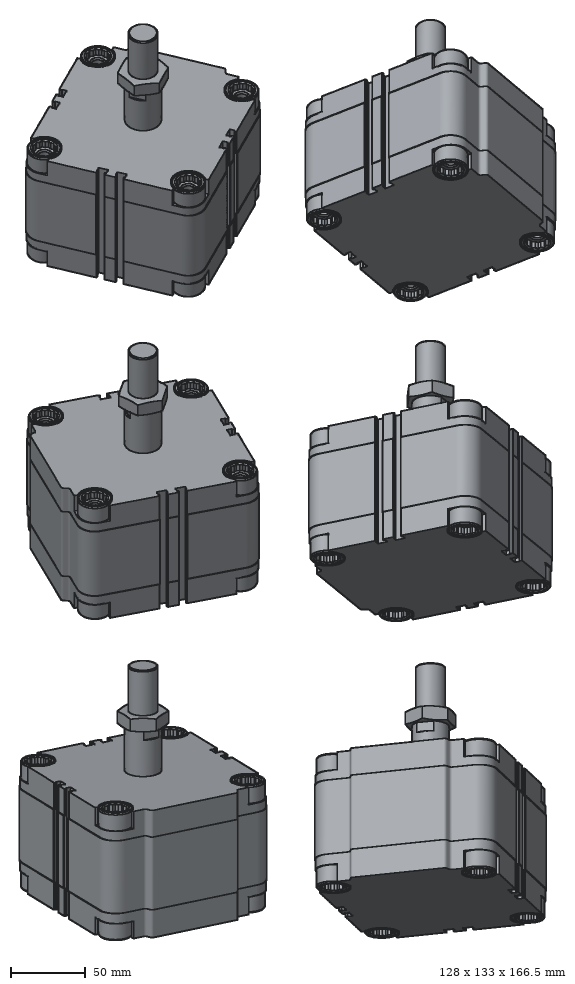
import cadquery as cq
import math

TOTAL_HEIGHT = 166.5
HOUSING_HEIGHT = 91.4
BARREL_BOTTOM = 20.0
BARREL_TOP = 72.3
NUT_BOTTOM = 124.5
NUT_THICKNESS = 9.7

BARREL_HALF_WIDTH = 64.02
CAP_SIDE_STEP = 0.5
CAP_FRONT_STEP = 0.08
CORNER_RADIUS = 12.3
TAB_FOOT_HALF_WIDTH = 35.5
TAB_TIP_HALF_WIDTH = 33.5
TAB_HEIGHT = 5.0
TAB_RADIUS = 2.0

SLOT_FLOOR = BARREL_HALF_WIDTH - 5.7
SLOT_LIP_BOTTOM = BARREL_HALF_WIDTH - 2.3
SLOT_OFFSET = 6.7
SLOT_WIDTH = 6.8
MOUTH_OFFSET = 6.8
MOUTH_WIDTH = 5.2
MOUTH_CHAMFER = 0.5

SCREW_SPACING = 103.0
NOTCH_DEPTH = 12.5
NOTCH_RADIUS = 11.8
NOTCH_SIDE = 44.8
HEAD_DIAMETER = 23.0
HEAD_TOP_DIAMETER = 21.3
HEAD_CHAMFER_HEIGHT = 1.0
SCREW_HOLE_DIAMETER = 8.3
COUNTERSINK_DIAMETER = 10.5
COUNTERSINK_DEPTH = 1.0
SOCKET_DEPTH = 5.8
SOCKET_DIAMETER = 16.5
SOCKET_RIM_DIAMETER = 18.1
SOCKET_RIM_BOTTOM_DIAMETER = 15.3
SOCKET_RIM_DEPTH = 0.8

ROD_DIAMETER = 25.0
THREAD_DIAMETER = 20.0
THREAD_CHAMFER = 0.8
ROD_FLAT_WIDTH = 22.0
ROD_FLAT_LENGTH = 7.0
NUT_ACROSS_FLATS = 30.0
NUT_CHAMFER_DIAMETER = 30.0
NUT_CHAMFER_ANGLE = 15.0


def cylinder(diameter, bottom, top):
    return cq.Workplane("XY", origin=(0, 0, bottom)).circle(diameter / 2).extrude(top - bottom)


def cone(bottom_diameter, top_diameter, bottom, top):
    return cq.Workplane(
        cq.Solid.makeCone(bottom_diameter / 2, top_diameter / 2, top - bottom, pnt=cq.Vector(0, 0, bottom))
    )


def mouth_cutter(half_width, bottom, top):
    """Slot mouth through one lip, chamfered at the outer face that lies half_width from the axis."""
    inner = MOUTH_WIDTH / 2
    outer = inner + MOUTH_CHAMFER
    outside = half_width + MOUTH_CHAMFER
    points = [
        (-inner, -SLOT_FLOOR),
        (-inner, MOUTH_CHAMFER - half_width),
        (-outer, -half_width),
        (-outer, -outside),
        (outer, -outside),
        (outer, -half_width),
        (inner, MOUTH_CHAMFER - half_width),
        (inner, -SLOT_FLOOR),
    ]
    return cq.Workplane("XY", origin=(0, 0, bottom)).polyline(points).close().extrude(top - bottom)


def housing_section(bottom, top, side_step, front_step):
    """Rounded block with the rear tab and the slot mouths, set back from the barrel's outline."""
    half_x = BARREL_HALF_WIDTH - side_step
    half_y = BARREL_HALF_WIDTH - front_step
    height = top - bottom
    plane = cq.Workplane("XY", origin=(0, 0, bottom))
    block = plane.rect(2 * half_x, 2 * half_y).extrude(height).edges("|Z").fillet(CORNER_RADIUS)

    tip_y = half_y + TAB_HEIGHT
    tab = (
        plane.moveTo(-TAB_FOOT_HALF_WIDTH, 0)
        .lineTo(-TAB_FOOT_HALF_WIDTH, half_y)
        .lineTo(-TAB_TIP_HALF_WIDTH, tip_y)
        .lineTo(TAB_TIP_HALF_WIDTH, tip_y)
        .lineTo(TAB_FOOT_HALF_WIDTH, half_y)
        .lineTo(TAB_FOOT_HALF_WIDTH, 0)
        .close()
        .extrude(height)
    )
    middle = (bottom + top) / 2
    section = block.union(tab)
    for x, y in ((TAB_FOOT_HALF_WIDTH, half_y), (TAB_TIP_HALF_WIDTH, tip_y)):
        for side in (-1, 1):
            corner = cq.selectors.NearestToPointSelector((side * x, y, middle))
            section = section.edges("|Z").edges(corner).fillet(TAB_RADIUS)

    for angle, half_width in ((0, half_y), (90, half_x), (-90, half_x)):
        for side in (-1, 1):
            mouth = mouth_cutter(half_width, bottom, top).translate((side * MOUTH_OFFSET, 0, 0))
            section = section.cut(mouth.rotate((0, 0, 0), (0, 0, 1), angle))
    return section


def slot_cutters():
    """The wide inner parts of the six slots, running the full height of the housing."""
    depth = SLOT_LIP_BOTTOM - SLOT_FLOOR
    middle_y = -(SLOT_LIP_BOTTOM + SLOT_FLOOR) / 2
    pair = (
        cq.Workplane("XY")
        .pushPoints([(-SLOT_OFFSET, middle_y), (SLOT_OFFSET, middle_y)])
        .rect(SLOT_WIDTH, depth)
        .extrude(HOUSING_HEIGHT)
    )
    return [pair.rotate((0, 0, 0), (0, 0, 1), angle) for angle in (0, 90, -90)]


def corner_notch():
    """Space around a screw head at the +X +Y corner, open to the top and to both sides."""
    centre = SCREW_SPACING / 2
    bottom = HOUSING_HEIGHT - NOTCH_DEPTH
    square_size = BARREL_HALF_WIDTH - NOTCH_SIDE
    square = (
        cq.Workplane("XY", origin=(NOTCH_SIDE, NOTCH_SIDE, bottom))
        .rect(square_size, square_size, centered=False)
        .extrude(NOTCH_DEPTH)
    )
    return cylinder(2 * NOTCH_RADIUS, bottom, HOUSING_HEIGHT).translate((centre, centre, 0)).union(square)


def screw_head():
    """Chamfered round head on the housing axis, before it is moved to a corner."""
    chamfer_bottom = HOUSING_HEIGHT - HEAD_CHAMFER_HEIGHT
    body = cylinder(HEAD_DIAMETER, HOUSING_HEIGHT - NOTCH_DEPTH, chamfer_bottom)
    return body.union(cone(HEAD_DIAMETER, HEAD_TOP_DIAMETER, chamfer_bottom, HOUSING_HEIGHT))


def screw_socket():
    """Twelve-point socket of two crossed hexagons, with a bevelled rim and a countersunk floor."""
    top = HOUSING_HEIGHT
    floor = top - SOCKET_DEPTH
    hexagon = cq.Workplane("XY", origin=(0, 0, floor)).polygon(6, SOCKET_DIAMETER).extrude(SOCKET_DEPTH)
    star = hexagon.union(hexagon.rotate((0, 0, 0), (0, 0, 1), 30))
    rim = cone(SOCKET_RIM_BOTTOM_DIAMETER, SOCKET_RIM_DIAMETER, top - SOCKET_RIM_DEPTH, top)
    countersink = cone(SCREW_HOLE_DIAMETER, COUNTERSINK_DIAMETER, floor - COUNTERSINK_DEPTH, floor)
    return star.union(rim).union(countersink)


def at_all_corners(feature):
    """Copies of a feature of the upper +X +Y corner at the four upper and four lower corners."""
    lower = feature.mirror("XY").translate((0, 0, HOUSING_HEIGHT))
    return [
        level.rotate((0, 0, 0), (0, 0, 1), 90 * turn) for level in (feature, lower) for turn in range(4)
    ]


def make_housing():
    lower_cap = housing_section(0, BARREL_BOTTOM, CAP_SIDE_STEP, CAP_FRONT_STEP)
    barrel = housing_section(BARREL_BOTTOM, BARREL_TOP, 0, 0)
    upper_cap = housing_section(BARREL_TOP, HOUSING_HEIGHT, CAP_SIDE_STEP, CAP_FRONT_STEP)
    housing = lower_cap.union(barrel).union(upper_cap)
    for slots in slot_cutters():
        housing = housing.cut(slots)

    to_corner = (SCREW_SPACING / 2, SCREW_SPACING / 2, 0)
    for notch in at_all_corners(corner_notch()):
        housing = housing.cut(notch)
    for head in at_all_corners(screw_head().translate(to_corner)):
        housing = housing.union(head)
    for socket in at_all_corners(screw_socket().translate(to_corner)):
        housing = housing.cut(socket)
    screw_holes = (
        cq.Workplane("XY")
        .rect(SCREW_SPACING, SCREW_SPACING, forConstruction=True)
        .vertices()
        .circle(SCREW_HOLE_DIAMETER / 2)
        .extrude(HOUSING_HEIGHT)
    )
    rod_hole = cylinder(ROD_DIAMETER, BARREL_TOP, HOUSING_HEIGHT)
    return housing.cut(screw_holes).cut(rod_hole).clean()


def make_rod():
    """Rod through the upper cap, with two wrench flats below a chamfered thread."""
    rod = cylinder(ROD_DIAMETER, BARREL_TOP, NUT_BOTTOM)
    flat_zone = cylinder(ROD_DIAMETER, NUT_BOTTOM - ROD_FLAT_LENGTH, NUT_BOTTOM)
    flats = cq.Workplane("XY", origin=(0, 0, NUT_BOTTOM - ROD_FLAT_LENGTH))
    flats = flats.rect(ROD_DIAMETER, ROD_FLAT_WIDTH).extrude(ROD_FLAT_LENGTH)
    rod = rod.cut(flat_zone.cut(flats))
    thread = cylinder(THREAD_DIAMETER, NUT_BOTTOM, TOTAL_HEIGHT).faces(">Z").chamfer(THREAD_CHAMFER)
    return rod.union(thread)


def make_nut():
    """Hexagon nut with corners on the Y axis, chamfered on both end faces."""
    across_corners = NUT_ACROSS_FLATS / math.cos(math.pi / 6)
    hexagon = cq.Workplane("XY", origin=(0, 0, NUT_BOTTOM)).polygon(6, across_corners).extrude(NUT_THICKNESS)
    hexagon = hexagon.rotate((0, 0, 0), (0, 0, 1), 90)
    chamfer_width = (across_corners - NUT_CHAMFER_DIAMETER) / 2
    chamfer_height = chamfer_width * math.tan(math.radians(NUT_CHAMFER_ANGLE))
    envelope = (
        cylinder(across_corners, NUT_BOTTOM, NUT_BOTTOM + NUT_THICKNESS)
        .faces("<Z or >Z")
        .chamfer(chamfer_height, chamfer_width)
    )
    thread_hole = cylinder(THREAD_DIAMETER, NUT_BOTTOM, NUT_BOTTOM + NUT_THICKNESS)
    return hexagon.intersect(envelope).cut(thread_hole)


housing = make_housing()
rod = make_rod()
nut = make_nut()

result = cq.Compound.makeCompound([housing.solids().val(), rod.solids().val(), nut.solids().val()])